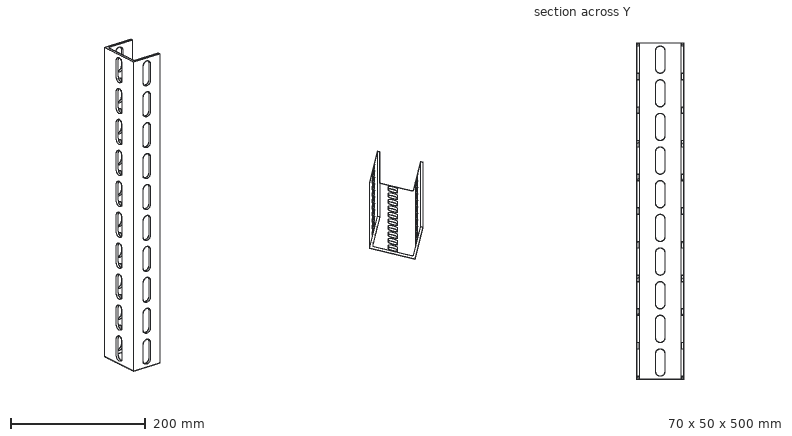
import cadquery as cq

web_width = 70.0
flange_depth = 50.0
length = 500.0
wall = 4.0
inner_radius = 2.0

slot_count = 10
slot_pitch = length / slot_count
slot_length = 40.0
slot_width = 14.0
slot_direction = 90.0


def channel():
    """U-section bar centred on the origin, sharp outside and rounded in the inner corners."""
    outer = cq.Workplane("XY").box(web_width, flange_depth, length)
    cavity = (
        cq.Workplane("XY")
        .box(web_width - 2 * wall, flange_depth, length)
        .translate((0, wall, 0))
        .edges("|Z and <Y")
        .fillet(inner_radius)
    )
    return outer.cut(cavity)


def slot_row(plane, reach):
    """Row of slot cutters along Z, extending by reach on both sides of the plane."""
    return (
        cq.Workplane(plane)
        .rarray(slot_pitch, slot_pitch, 1, slot_count)
        .slot2D(slot_length, slot_width, slot_direction)
        .extrude(reach, both=True)
    )


web_slots = slot_row("XZ", flange_depth)
flange_slots = slot_row("YZ", web_width)

result = channel().cut(web_slots).cut(flange_slots)